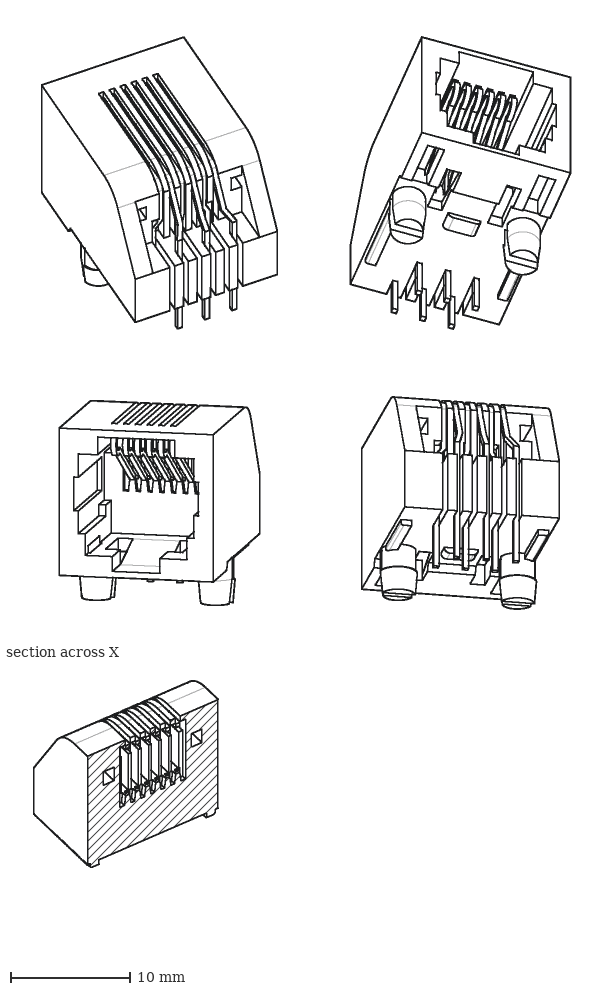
import cadquery as cq
import math


length = 18.1
width = 13.25
height = 12.6
base_z = 0.67
foot_end = 5.21
foot_bevel = 0.36
rear_wall_top = 5.74
slope_start = 13.75
roof_radius = 3.17
slope_angle = math.atan2(height - rear_wall_top, length - slope_start)
roof_end = slope_start + roof_radius * math.tan(slope_angle / 2) * math.cos(slope_angle)

cavity_depth = 9.95
floor_z = 1.81
ceiling_z = 10.46
lower_half = 4.36
upper_half = 4.96
ledge_z = 3.65
rear_ledge_z = 4.6
ledge_step_x = 7.96
side_groove_half = 5.35
side_groove_end = 9.05
side_groove_bottom = 5.6
side_groove_top = 8.47
window_inner = 3.95
window_bottom = 8.67
window_top = 10.08

latch_half = 2.05
latch_z = 0.55
ramp_start = 3.08
ramp_end = 7.96
opening_half = 3.31
hollow_start = 1.15
hollow_end = 5.63
hollow_inner = 4.2
hollow_outer = 5.68
hollow_top = 2.43

guide_half = 3.31
guide_top = 11.96
guide_end = 11.76
comb_depth = 0.55
comb_bottom = 5.47
comb_slot_width = 0.75
comb_slot_bottom = 6.46
land_bottom_width = 0.69
land_top_width = 0.45

contact_count = 6
contact_pitch = 1.01
pin_pitch = 1.27
wire = 0.45
contact_top = 11.93
front_bend_x = 3.67
front_bend_radius = 1.09
spring_angle = math.radians(30)
rear_bend_radius = 0.76
groove_start = 3.0
rear_slot_start = 13.61
near_pin_back = 14.43
far_pin_back = 16.96
pin_bottom = -3.0
far_jog_start = 16.25
far_jog_end = 16.9
near_jog_top = 7.6
near_jog_bottom = 6.88
jog_relief_top = 8.15

peg_x = 7.87
peg_y = 5.1
peg_radius = 1.5
peg_slot = 0.65
peg_bottom = -3.33
front_taper_z = -1.15
front_tip_radius = 1.27
barb_z = -1.34
barb_shift = 0.05
barb_radius = 1.63
barb_tip_radius = 1.47
standoff_z = 0.18
rail_start = 8.33
rail_end = 15.1
rail_inner = 5.43
rail_outer = 6.34
rail_rounding = 0.22
pad_start = 8.0
pad_end = 9.41
pad_half = 1.45
pad_rounding = 0.45

reach = 2 * length


def block(x0, x1, y0, y1, z0, z1):
    return cq.Workplane("XY").box(x1 - x0, y1 - y0, z1 - z0, centered=False).translate((x0, y0, z0))


def both_sides(shape):
    return shape.union(shape.mirror("XZ"))


def side_extrusion(points, half_width):
    """Extrude an outline of (x, z) points symmetrically about Y = 0."""
    return cq.Workplane("XZ").polyline(points).close().extrude(half_width, both=True)


def row_offset(index, pitch):
    return (index - (contact_count - 1) / 2) * pitch


def is_near_row(index):
    return index % 2 == 0


def make_shell():
    arc_half_angle = slope_angle / 2
    tangent = roof_radius * math.tan(arc_half_angle)
    arc_middle = (
        slope_start - tangent + roof_radius * math.sin(arc_half_angle),
        height - roof_radius * (1 - math.cos(arc_half_angle)),
    )
    outline = (
        cq.Workplane("XZ")
        .moveTo(0, 0)
        .lineTo(foot_end, 0)
        .lineTo(foot_end + foot_bevel, base_z)
        .lineTo(length, base_z)
        .lineTo(length, rear_wall_top)
        .lineTo(roof_end, height - tangent * math.sin(slope_angle))
        .threePointArc(arc_middle, (slope_start - tangent, height))
        .lineTo(0, height)
        .close()
    )
    return outline.extrude(width / 2, both=True)


def make_cavity():
    cavity = block(0, cavity_depth, -lower_half, lower_half, floor_z, ceiling_z)
    cavity = cavity.union(block(0, ledge_step_x, -upper_half, upper_half, ledge_z, ceiling_z))
    cavity = cavity.union(block(0, cavity_depth, -upper_half, upper_half, rear_ledge_z, ceiling_z))
    side_grooves = block(
        0, side_groove_end, -side_groove_half, side_groove_half, side_groove_bottom, side_groove_top
    )
    window = block(cavity_depth, roof_end, window_inner, upper_half, window_bottom, window_top)
    return cavity.union(side_grooves).union(both_sides(window))


def make_latch_groove():
    profile = [(0, latch_z), (ramp_start, latch_z), (ramp_end, floor_z), (0, floor_z)]
    return side_extrusion(profile, latch_half)


def make_floor_openings():
    beside_ramp = block(ramp_start, ramp_end, latch_half, opening_half, 0, floor_z)
    hollow = block(hollow_start, hollow_end, hollow_inner, hollow_outer, 0, hollow_top)
    return both_sides(beside_ramp.union(hollow))


def make_comb_recess():
    """Recess in the cavity's back with a tapered land under each contact and a slot above it."""
    comb_face = cavity_depth + comb_depth
    recess = block(cavity_depth, comb_face, -guide_half, guide_half, comb_bottom, ceiling_z)
    for index in range(contact_count):
        y = row_offset(index, contact_pitch)
        land = (
            cq.Workplane("YZ", origin=(cavity_depth, y, 0))
            .moveTo(-land_bottom_width / 2, comb_bottom)
            .lineTo(land_bottom_width / 2, comb_bottom)
            .lineTo(land_top_width / 2, comb_slot_bottom)
            .lineTo(-land_top_width / 2, comb_slot_bottom)
            .close()
            .extrude(comb_depth)
        )
        slot = block(
            comb_face,
            guide_end,
            y - comb_slot_width / 2,
            y + comb_slot_width / 2,
            comb_slot_bottom,
            ceiling_z,
        )
        recess = recess.cut(land).union(slot)
    roof_channel = block(0, guide_end, -guide_half, guide_half, ceiling_z, guide_top)
    return recess.union(roof_channel)


def make_rear_notch():
    return block(roof_end, length, -upper_half, upper_half, rear_wall_top, height)


def make_contact_slots(index):
    """Roof groove, rear slot and pin slot for one contact."""
    y = row_offset(index, contact_pitch)
    pin_y = row_offset(index, pin_pitch)
    near = is_near_row(index)
    pin_back = near_pin_back if near else far_pin_back
    groove = block(
        groove_start, roof_end, y - wire / 2, y + wire / 2, contact_top - wire, height
    )
    rear_slot = block(
        rear_slot_start, roof_end, y - wire / 2, y + wire / 2, rear_wall_top, height
    )
    pin_slot = block(
        pin_back - wire, length, pin_y - wire / 2, pin_y + wire / 2, 0, rear_wall_top
    )
    slots = groove.union(rear_slot).union(pin_slot)
    if near:
        jog_relief = block(
            rear_slot_start,
            roof_end,
            min(y, pin_y) - wire / 2,
            max(y, pin_y) + wire / 2,
            rear_wall_top,
            jog_relief_top,
        )
        slots = slots.union(jog_relief)
    return slots


def cone(top_radius, tip_radius, top_z):
    tip = cq.Workplane("XY").workplane(offset=peg_bottom).circle(tip_radius)
    return tip.workplane(offset=top_z - peg_bottom).circle(top_radius).loft()


def make_peg():
    """Split peg centred on Z: a plain tapered front half and a barbed rear half."""
    front = cq.Workplane("XY").workplane(offset=front_taper_z).circle(peg_radius)
    front = front.extrude(base_z - front_taper_z).union(cone(peg_radius, front_tip_radius, front_taper_z))
    rear = cq.Workplane("XY").workplane(offset=barb_z).circle(peg_radius).extrude(base_z - barb_z)
    barb = cone(barb_radius, barb_tip_radius, barb_z).translate((-barb_shift, 0, 0))
    rear = rear.union(barb)
    front = front.intersect(block(-reach, -peg_slot / 2, -reach, reach, -reach, reach))
    rear = rear.intersect(block(peg_slot / 2, reach, -reach, reach, -reach, reach))
    return front.union(rear)


def make_standoffs():
    rail = block(rail_start, rail_end, rail_inner, rail_outer, standoff_z, base_z)
    rail = rail.edges("|X and >Y and <Z").fillet(rail_rounding)
    pad = block(pad_start, pad_end, -pad_half, pad_half, standoff_z, base_z)
    pad = pad.edges("|X and <Z").fillet(pad_rounding)
    return both_sides(rail).union(pad)


def make_housing():
    housing = make_shell()
    housing = housing.cut(make_cavity()).cut(make_latch_groove()).cut(make_floor_openings())
    housing = housing.cut(make_comb_recess()).cut(make_rear_notch())
    for index in range(contact_count):
        housing = housing.cut(make_contact_slots(index))
    pegs = both_sides(make_peg().translate((peg_x, peg_y, 0)))
    return housing.union(pegs).union(make_standoffs()).solids().val()


def make_spring(rear_bend_x, rear_angle):
    """Spring arm, front bend, straight run under the roof and rear bend, centred on Y = 0."""
    mid_z = contact_top - wire / 2
    front_mid = front_bend_radius - wire / 2
    rear_mid = rear_bend_radius - wire / 2
    front_centre_z = contact_top - front_bend_radius
    rear_centre_z = contact_top - rear_bend_radius

    def front_point(radius):
        """Where the front bend ends and the spring arm begins, at the given radius."""
        return (
            front_bend_x + radius * math.sin(spring_angle),
            front_centre_z - radius * math.cos(spring_angle),
        )

    def rear_point(angle):
        return (rear_bend_x + rear_mid * math.sin(angle), rear_centre_z + rear_mid * math.cos(angle))

    arm_length = (front_point(front_bend_radius)[1] - comb_slot_bottom) / math.sin(spring_angle)
    bend_x, bend_z = front_point(front_mid)
    tip = (bend_x + arm_length * math.cos(spring_angle), bend_z - arm_length * math.sin(spring_angle))
    bend_middle = (
        front_bend_x - front_mid * math.cos(spring_angle / 2),
        front_centre_z - front_mid * math.sin(spring_angle / 2),
    )
    path = (
        cq.Workplane("XZ")
        .moveTo(*tip)
        .lineTo(bend_x, bend_z)
        .threePointArc(bend_middle, (front_bend_x, mid_z))
        .lineTo(rear_bend_x, mid_z)
        .threePointArc(rear_point(rear_angle / 2), rear_point(rear_angle))
    )
    arm_direction = cq.Vector(-math.cos(spring_angle), 0, math.sin(spring_angle))
    tip_plane = cq.Plane(origin=(tip[0], 0, tip[1]), xDir=(0, 1, 0), normal=arm_direction)
    return cq.Workplane(tip_plane).rect(wire, wire).sweep(path)


def make_leg(rear_bend_x, angle, jog_start, jog_end, leg_length, shift):
    """Flat leg that leaves the rear bend at the given angle and jogs sideways by shift."""
    start = (
        rear_bend_x + rear_bend_radius * math.sin(angle),
        0,
        contact_top - rear_bend_radius * (1 - math.cos(angle)),
    )
    plane = cq.Plane(
        origin=start,
        xDir=(math.cos(angle), 0, -math.sin(angle)),
        normal=(math.sin(angle), 0, math.cos(angle)),
    )
    centre_line = [(0, 0), (jog_start, 0), (jog_end, shift), (leg_length, shift)]
    one_side = [(s, y - wire / 2) for s, y in centre_line]
    other_side = [(s, y + wire / 2) for s, y in reversed(centre_line)]
    return cq.Workplane(plane).polyline(one_side + other_side).close().extrude(-wire)


def make_near_contact(shift):
    """Contact whose leg drops straight down."""
    bend_x = near_pin_back - rear_bend_radius
    leg_top = contact_top - rear_bend_radius
    leg = make_leg(
        bend_x,
        math.pi / 2,
        leg_top - near_jog_top,
        leg_top - near_jog_bottom,
        leg_top - pin_bottom,
        shift,
    )
    return make_spring(bend_x, math.pi / 2).union(leg)


def make_far_contact(shift):
    """Contact whose leg follows the rear slope and then drops as a pin."""
    bend_x = rear_slot_start
    leg_x = bend_x + rear_bend_radius * math.sin(slope_angle)
    leg_top = contact_top - rear_bend_radius * (1 - math.cos(slope_angle))
    run = math.cos(slope_angle)
    leg = make_leg(
        bend_x,
        slope_angle,
        (far_jog_start - leg_x) / run,
        (far_jog_end - leg_x) / run,
        (far_pin_back - leg_x) / run,
        shift,
    )
    pin_top = leg_top - (far_pin_back - leg_x) * math.tan(slope_angle)
    pin = block(
        far_pin_back - wire, far_pin_back, shift - wire / 2, shift + wire / 2, pin_bottom, pin_top
    )
    return make_spring(bend_x, slope_angle).union(leg).union(pin)


def make_contact(index):
    y = row_offset(index, contact_pitch)
    shift = row_offset(index, pin_pitch) - y
    contact = make_near_contact(shift) if is_near_row(index) else make_far_contact(shift)
    return contact.translate((0, y, 0)).solids().val()


housing = make_housing()
contacts = [make_contact(index) for index in range(contact_count)]

result = cq.Compound.makeCompound([housing, *contacts])